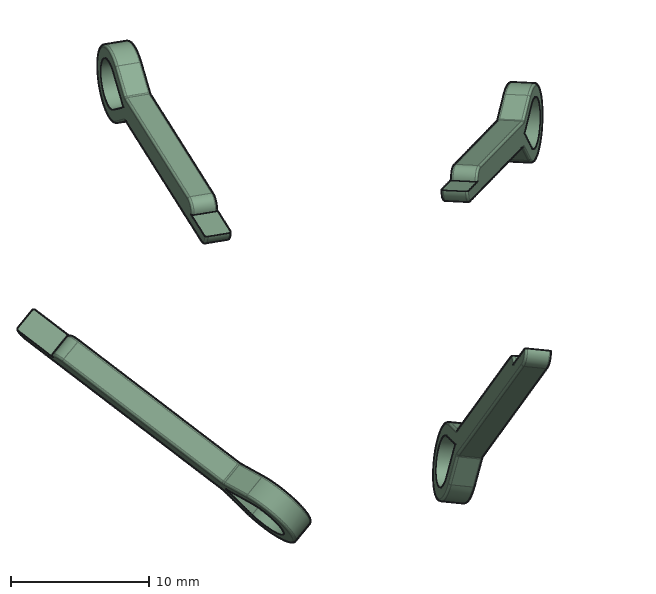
import cadquery as cq
import math

length = 25.6
wire_thickness = 1.0
wire_width = 2.0
eye_radius = 2.9
apex_x = 6.32
short_leg_end = 22.4
neck_radius = 0.25
edge_radius = 0.18

eye_x = eye_radius
inner_radius = eye_radius - wire_thickness
flank_angle = math.asin(inner_radius / (apex_x - eye_x))
neck_x = apex_x + wire_thickness * math.tan(flank_angle / 2)
neck_setback = neck_radius * math.tan(flank_angle / 2)


def eye_point(radius, angle):
    """Point on a circle about the eye centre, angle measured from +X."""
    return (eye_x + radius * math.cos(angle), radius * math.sin(angle))


def mirrored(point):
    """The matching point on the lower leg."""
    return (point[0], -point[1])


tangent_angle = math.pi / 2 - flank_angle
outer_tangent = eye_point(eye_radius, tangent_angle)
inner_tangent = eye_point(inner_radius, tangent_angle)
neck_start = (
    neck_x - neck_setback * math.cos(flank_angle),
    wire_thickness + neck_setback * math.sin(flank_angle),
)
neck_end = (neck_x + neck_setback, wire_thickness)
neck_middle = (
    neck_end[0] - neck_radius * math.sin(flank_angle / 2),
    wire_thickness + neck_radius * (1 - math.cos(flank_angle / 2)),
)


def tip_start(leg_end):
    """Point where the straight top of a leg turns into its rounded tip."""
    return (leg_end - wire_thickness, wire_thickness)


def tip_middle(leg_end):
    """Middle of the quarter-round tip, whose centre lies on the X axis."""
    offset = wire_thickness * math.sqrt(0.5)
    return (leg_end - wire_thickness + offset, offset)


profile = cq.Workplane("XZ", origin=(0, wire_width / 2, 0))
body = (
    profile.moveTo(*outer_tangent)
    .threePointArc((0, 0), mirrored(outer_tangent))
    .lineTo(*mirrored(neck_start))
    .threePointArc(mirrored(neck_middle), mirrored(neck_end))
    .lineTo(*mirrored(tip_start(length)))
    .threePointArc(mirrored(tip_middle(length)), (length, 0))
    .lineTo(short_leg_end, 0)
    .threePointArc(tip_middle(short_leg_end), tip_start(short_leg_end))
    .lineTo(*neck_end)
    .threePointArc(neck_middle, neck_start)
    .close()
    .extrude(wire_width)
)

leg_top = cq.selectors.BoxSelector(
    (neck_x, -wire_width, wire_thickness / 2),
    (short_leg_end - wire_thickness, wire_width, 2 * wire_thickness),
)
body = body.faces("<Y or >Y").edges("|X").edges(leg_top).fillet(edge_radius)

opening = (
    profile.moveTo(*inner_tangent)
    .threePointArc((wire_thickness, 0), mirrored(inner_tangent))
    .lineTo(apex_x, 0)
    .close()
    .extrude(wire_width)
)

result = body.cut(opening)